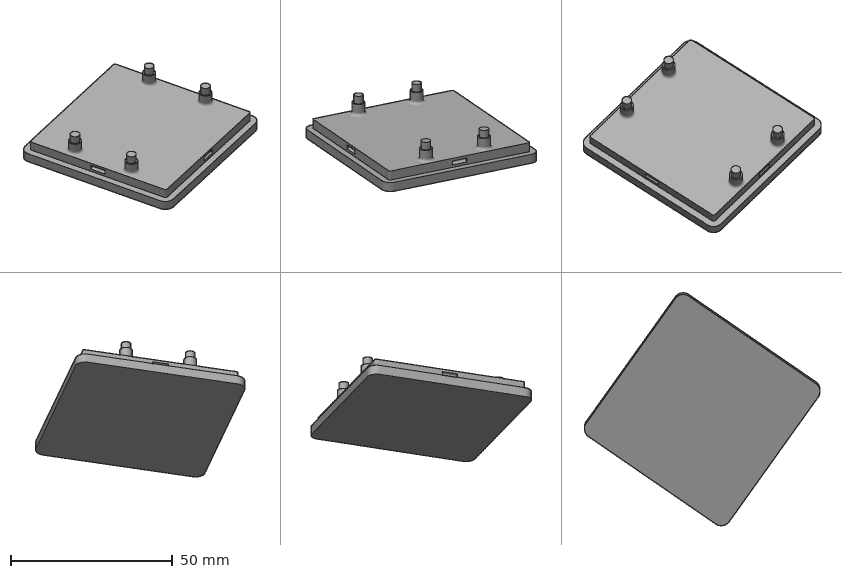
import cadquery as cq
import math

base_side = 54.0
base_thickness = 3.0
base_corner_radius = 3.0

rim_width = 2.2
raised_side = base_side - 2 * rim_width
raised_thickness = 3.0
raised_corner_radius = 0.6
deck_height = base_thickness + raised_thickness

overall_height = 12.35
pin_spacing_x = 20.5
pin_spacing_y = 43.4
pin_diameter = 4.0
pin_tip_diameter = 3.0
pin_tip_length = 2.5
pin_foot_fillet = 1.0
pin_shoulder_height = overall_height - pin_tip_length

notch_length = 5.0
notch_height = 1.3
notch_slope = math.radians(30)
notch_root_radius = 0.42
notch_center_height = base_thickness + raised_thickness / 2


def rounded_plate(side, thickness, corner_radius, bottom):
    """Square plate with rounded vertical edges, centred on the Z axis."""
    plate = cq.Workplane("XY", origin=(0, 0, bottom)).rect(side, side).extrude(thickness)
    return plate.edges("|Z").fillet(corner_radius)


def stepped_pin(x, y):
    """Pin with a concave flared foot and a thinner tip, revolved about its own axis."""
    pin_radius = pin_diameter / 2
    tip_radius = pin_tip_diameter / 2
    foot_radius = pin_radius + pin_foot_fillet
    fillet_top = deck_height + pin_foot_fillet
    profile = (
        cq.Workplane("XZ")
        .moveTo(0, base_thickness)
        .lineTo(foot_radius, base_thickness)
        .lineTo(foot_radius, deck_height)
        .radiusArc((pin_radius, fillet_top), pin_foot_fillet)
        .lineTo(pin_radius, pin_shoulder_height)
        .lineTo(tip_radius, pin_shoulder_height)
        .lineTo(tip_radius, overall_height)
        .lineTo(0, overall_height)
        .close()
    )
    pin = profile.revolve(360, (0, 0, 0), (0, 1, 0))
    return pin.translate((x, y, 0))


def side_notch(angle):
    """Round-bottomed V groove cutter for the front wall, turned about Z to the chosen wall."""
    wall = raised_side / 2
    half_height = notch_height / 2
    root_half_height = notch_root_radius * math.cos(notch_slope)
    flank_depth = (half_height - root_half_height) / math.tan(notch_slope)
    full_depth = flank_depth + notch_root_radius * (1 - math.sin(notch_slope))
    cutter = (
        cq.Workplane("YZ", origin=(-notch_length / 2, -wall, notch_center_height))
        .moveTo(0, -half_height)
        .lineTo(flank_depth, -root_half_height)
        .threePointArc((full_depth, 0), (flank_depth, root_half_height))
        .lineTo(0, half_height)
        .close()
        .extrude(notch_length)
    )
    return cutter.rotate((0, 0, 0), (0, 0, 1), angle)


result = rounded_plate(base_side, base_thickness, base_corner_radius, 0)
result = result.union(rounded_plate(raised_side, raised_thickness, raised_corner_radius, base_thickness))

for x in (-pin_spacing_x / 2, pin_spacing_x / 2):
    for y in (-pin_spacing_y / 2, pin_spacing_y / 2):
        result = result.union(stepped_pin(x, y))

for wall_angle in (0, 90, 180, 270):
    result = result.cut(side_notch(wall_angle))